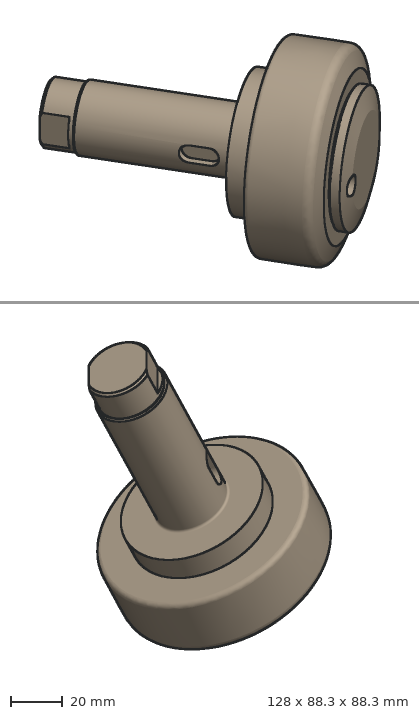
import cadquery as cq
import math

LENGTH = 128.0
TURNING_AXIS = ((0, 0, 0), (1, 0, 0))

NECK_DIAMETER = 28.0
NECK_LENGTH = 14.0
TIP_CHAMFER = 1.0
FLATS_LENGTH = 12.0
FLATS_WIDTH = 24.0
SHAFT_DIAMETER = 30.0
SHAFT_CHAMFER = 0.8
SHAFT_END = 79.9
ROOT_FILLET = 1.0

POCKET_CENTER_X = 64.9
POCKET_LENGTH = 16.1
POCKET_WIDTH = 8.0
POCKET_DEPTH = 4.0

COLLAR_DIAMETER = 59.0
ROLLER_START = 90.6
ROLLER_END = 120.7
ROLLER_DIAMETER = 88.3
CROWN_RISE = 0.1
ROLLER_BACK_RADIUS = 2.0
ROLLER_FRONT_RADIUS = 4.0
ROLLER_FACE_DIAMETER = 69.9
ROLLER_CONE_ANGLE = 20.0

CAP_START = 121.5
CAP_RIM_END = 125.5
CAP_DIAMETER = 58.0
CAP_FACE_DIAMETER = 39.0
GROOVE_DIAMETER = 55.5

CAP_HOLE_DIAMETER = 8.6
CAP_HOLE_OFFSET = 19.5
CAP_HOLE_DEPTH = 5.1


def cylinder(start, end, diameter):
    """Solid cylinder along X between two stations."""
    return cq.Workplane("YZ", origin=(start, 0, 0)).circle(diameter / 2).extrude(end - start)


def make_stud():
    neck_radius = NECK_DIAMETER / 2
    shaft_radius = SHAFT_DIAMETER / 2
    fillet_start = SHAFT_END - ROOT_FILLET
    fillet_mid_offset = ROOT_FILLET * math.sqrt(0.5)
    return (
        cq.Workplane("XY")
        .lineTo(0, neck_radius - TIP_CHAMFER)
        .lineTo(TIP_CHAMFER, neck_radius)
        .lineTo(NECK_LENGTH, neck_radius)
        .lineTo(NECK_LENGTH, shaft_radius - SHAFT_CHAMFER)
        .lineTo(NECK_LENGTH + SHAFT_CHAMFER, shaft_radius)
        .lineTo(fillet_start, shaft_radius)
        .threePointArc(
            (fillet_start + fillet_mid_offset, shaft_radius + ROOT_FILLET - fillet_mid_offset),
            (SHAFT_END, shaft_radius + ROOT_FILLET),
        )
        .lineTo(SHAFT_END, 0)
        .close()
        .revolve(360, *TURNING_AXIS)
    )


def cut_wrench_flats(stud):
    cutter = cq.Workplane("XY").box(
        FLATS_LENGTH, SHAFT_DIAMETER, SHAFT_DIAMETER, centered=(False, True, True)
    )
    cutter_offset = (FLATS_WIDTH + SHAFT_DIAMETER) / 2
    for side in (-1, 1):
        stud = stud.cut(cutter.translate((0, side * cutter_offset, 0)))
    return stud


def cut_shaft_pocket(stud):
    floor_y = POCKET_DEPTH - SHAFT_DIAMETER / 2
    cutter = (
        cq.Workplane("XZ", origin=(POCKET_CENTER_X, floor_y, 0))
        .slot2D(POCKET_LENGTH, POCKET_WIDTH)
        .extrude(SHAFT_DIAMETER)
    )
    return stud.cut(cutter)


def make_roller():
    """Roller with a slightly crowned tread, a rounded back edge and a coned front."""
    crown_radius = ROLLER_DIAMETER / 2
    edge_radius = crown_radius - CROWN_RISE
    face_radius = ROLLER_FACE_DIAMETER / 2
    cone_length = (edge_radius - face_radius) * math.tan(math.radians(ROLLER_CONE_ANGLE))
    cone_start = ROLLER_END - cone_length
    outline = (
        cq.Workplane("XY")
        .moveTo(ROLLER_START, 0)
        .lineTo(ROLLER_START, edge_radius)
        .threePointArc(((ROLLER_START + cone_start) / 2, crown_radius), (cone_start, edge_radius))
        .lineTo(ROLLER_END, face_radius)
        .lineTo(ROLLER_END, 0)
        .close()
    )
    roller = outline.revolve(360, *TURNING_AXIS)
    back_edge = cq.selectors.NearestToPointSelector((ROLLER_START, 0, 0))
    front_edge = cq.selectors.NearestToPointSelector((cone_start, 0, 0))
    roller = roller.edges(back_edge).fillet(ROLLER_BACK_RADIUS)
    return roller.edges(front_edge).fillet(ROLLER_FRONT_RADIUS)


def make_end_cap():
    rim_radius = CAP_DIAMETER / 2
    outline = (
        cq.Workplane("XY")
        .moveTo(CAP_START, 0)
        .lineTo(CAP_START, rim_radius)
        .lineTo(CAP_RIM_END, rim_radius)
        .lineTo(LENGTH, CAP_FACE_DIAMETER / 2)
        .lineTo(LENGTH, 0)
        .close()
    )
    cap = outline.revolve(360, *TURNING_AXIS)
    return cap.union(cylinder(ROLLER_END, CAP_START, GROOVE_DIAMETER))


def cut_cap_hole(body):
    hole = cylinder(LENGTH - CAP_HOLE_DEPTH, LENGTH, CAP_HOLE_DIAMETER)
    return body.cut(hole.translate((0, -CAP_HOLE_OFFSET, 0)))


stud = cut_shaft_pocket(cut_wrench_flats(make_stud()))
collar = cylinder(SHAFT_END, ROLLER_START, COLLAR_DIAMETER)
body = stud.union(collar).union(make_roller()).union(make_end_cap())
result = cut_cap_hole(body)